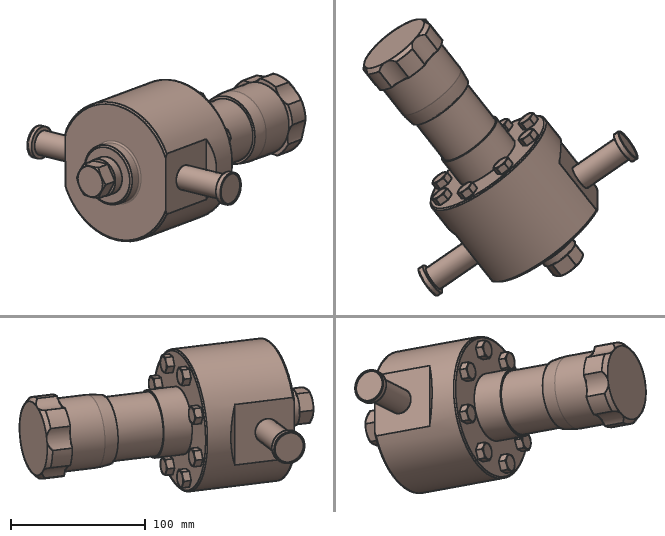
import cadquery as cq
import math


total_length = 219.5
port_span = 184.1

body_radius = 53.3
body_length = 61.7
cover_thickness = 11.2
body_chamfer = 1.3
cover_chamfer = 1.0
flat_offset = 47.8
flat_length = 47.6
cover_back = body_length + cover_thickness

boss_radius = 22.8
boss_length = 9.9
boss_chamfer = 1.3
boss_root_fillet = 1.3
plug_collar_radius = 14.3
plug_collar_length = 8.0
plug_hex_flats = 24.0
plug_hex_length = 12.0

port_y = 22.0
port_reach = port_span / 2
port_radius = 9.5
port_flange_radius = 12.3
port_flange_rim = 4.2
port_flange_taper = 0.7
port_recess_radius = 11.5
port_recess_depth = 0.5

hex_bevel_angle = 30.0
hex_top_share = 0.98

bolt_count = 8
bolt_circle_radius = 43.0
bolt_flats = 12.3
bolt_height = 6.1

collar_radius = 25.5
collar_end = 95.5
neck_radius = 24.1
sleeve_radius = 27.5
sleeve_start = 132.3
sleeve_curve_end = 143.5
sleeve_tip_radius = 26.1
sleeve_curve_bulge = 0.2
sleeve_end = 170.7
knob_radius = 30.7
knob_end = total_length - boss_length - plug_collar_length - plug_hex_length
knob_chamfer = 3.0
scallop_count = 6
scallop_half_angle = 15.5
scallop_first_angle = 46.0


def disc_along_y(radius, start, length):
    """Cylinder on the main axis from Y = start towards +Y."""
    return cq.Workplane("XZ", origin=(0, start, 0)).circle(radius).extrude(-length)


def hex_head(flats, height):
    """Hexagonal head standing on Z = 0, corners along X, top corners bevelled."""
    corner_radius = flats / 2 / math.cos(math.radians(30))
    top_radius = hex_top_share * flats / 2
    bevel = (corner_radius - top_radius) * math.tan(math.radians(hex_bevel_angle))
    head = cq.Workplane("XY").polygon(6, 2 * corner_radius).extrude(height)
    envelope = (
        cq.Workplane("XZ")
        .polyline([
            (0, 0),
            (corner_radius, 0),
            (corner_radius, height - bevel),
            (top_radius, height),
            (0, height),
        ])
        .close()
        .revolve(360, (0, 0, 0), (0, 1, 0))
    )
    return head.intersect(envelope)


def make_body():
    body = disc_along_y(body_radius, 0, body_length).faces("<Y").chamfer(body_chamfer)
    cover = disc_along_y(body_radius, body_length, cover_thickness).faces(">Y").chamfer(cover_chamfer)
    body = body.union(cover)

    runout = body_radius - flat_offset
    for side in (-1, 1):
        flat_cut = (
            cq.Workplane("XY", origin=(0, 0, -body_radius))
            .polyline([
                (side * flat_offset, 0),
                (side * flat_offset, flat_length),
                (side * body_radius, flat_length + runout),
                (side * body_radius, 0),
            ])
            .close()
            .extrude(2 * body_radius)
        )
        body = body.cut(flat_cut)
    return body


def make_front_plug():
    boss_front = -boss_length
    collar_front = boss_front - plug_collar_length
    fillet_middle = boss_root_fillet * (1 - math.sqrt(0.5))
    turned = (
        cq.Workplane("XY")
        .moveTo(0, 0)
        .lineTo(boss_radius + boss_root_fillet, 0)
        .threePointArc(
            (boss_radius + fillet_middle, -fillet_middle),
            (boss_radius, -boss_root_fillet),
        )
        .lineTo(boss_radius, boss_front + boss_chamfer)
        .lineTo(boss_radius - boss_chamfer, boss_front)
        .lineTo(plug_collar_radius, boss_front)
        .lineTo(plug_collar_radius, collar_front)
        .lineTo(0, collar_front)
        .close()
        .revolve(360, (0, 0, 0), (0, 1, 0))
    )
    hexagon = (
        hex_head(plug_hex_flats, plug_hex_length)
        .rotate((0, 0, 0), (1, 0, 0), 90)
        .translate((0, collar_front, 0))
    )
    return turned.union(hexagon)


def make_ports():
    """Tube with a dished clamp flange at each end; it passes straight through the body."""
    rim_start = port_reach - port_flange_rim
    half = (
        cq.Workplane("XY")
        .polyline([
            (0, 0),
            (0, port_radius),
            (rim_start - port_flange_taper, port_radius),
            (rim_start, port_flange_radius),
            (port_reach, port_flange_radius),
            (port_reach, port_recess_radius),
            (port_reach - port_recess_depth, port_recess_radius),
            (port_reach - port_recess_depth, 0),
        ])
        .close()
        .revolve(360, (0, 0, 0), (1, 0, 0))
    )
    return half.union(half.mirror("YZ")).translate((0, port_y, 0))


def make_bolts():
    bolt = hex_head(bolt_flats, bolt_height).rotate((0, 0, 0), (1, 0, 0), -90)
    bolts = cq.Workplane("XY")
    for index in range(bolt_count):
        angle = 2 * math.pi * (index + 0.5) / bolt_count
        x = bolt_circle_radius * math.cos(angle)
        z = bolt_circle_radius * math.sin(angle)
        bolts = bolts.add(bolt.translate((x, cover_back, z)))
    return bolts.combine()


def make_neck_and_sleeve():
    curve_middle = (
        (sleeve_radius + sleeve_tip_radius) / 2 + sleeve_curve_bulge,
        (sleeve_start + sleeve_curve_end) / 2,
    )
    return (
        cq.Workplane("XY")
        .moveTo(0, cover_back)
        .lineTo(collar_radius, cover_back)
        .lineTo(collar_radius, collar_end)
        .lineTo(neck_radius, collar_end)
        .lineTo(neck_radius, sleeve_start)
        .lineTo(sleeve_tip_radius, sleeve_start)
        .threePointArc(curve_middle, (sleeve_radius, sleeve_curve_end))
        .lineTo(sleeve_radius, sleeve_end)
        .lineTo(0, sleeve_end)
        .close()
        .revolve(360, (0, 0, 0), (0, 1, 0))
    )


def make_knob():
    length = knob_end - sleeve_end
    knob = disc_along_y(knob_radius, sleeve_end, length).faces(">Y").chamfer(knob_chamfer)

    half_chord = knob_radius * math.sin(math.radians(scallop_half_angle))
    depth = knob_radius * math.cos(math.radians(scallop_half_angle)) - sleeve_radius
    scallop_radius = (half_chord**2 + depth**2) / (2 * depth)
    centre_distance = sleeve_radius + scallop_radius
    for index in range(scallop_count):
        angle = math.radians(scallop_first_angle + 360 / scallop_count * index)
        x = centre_distance * math.cos(angle)
        z = centre_distance * math.sin(angle)
        knob = knob.cut(disc_along_y(scallop_radius, sleeve_end, length).translate((x, 0, z)))
    return knob


result = (
    make_body()
    .union(make_front_plug())
    .union(make_ports())
    .union(make_bolts())
    .union(make_neck_and_sleeve())
    .union(make_knob())
)